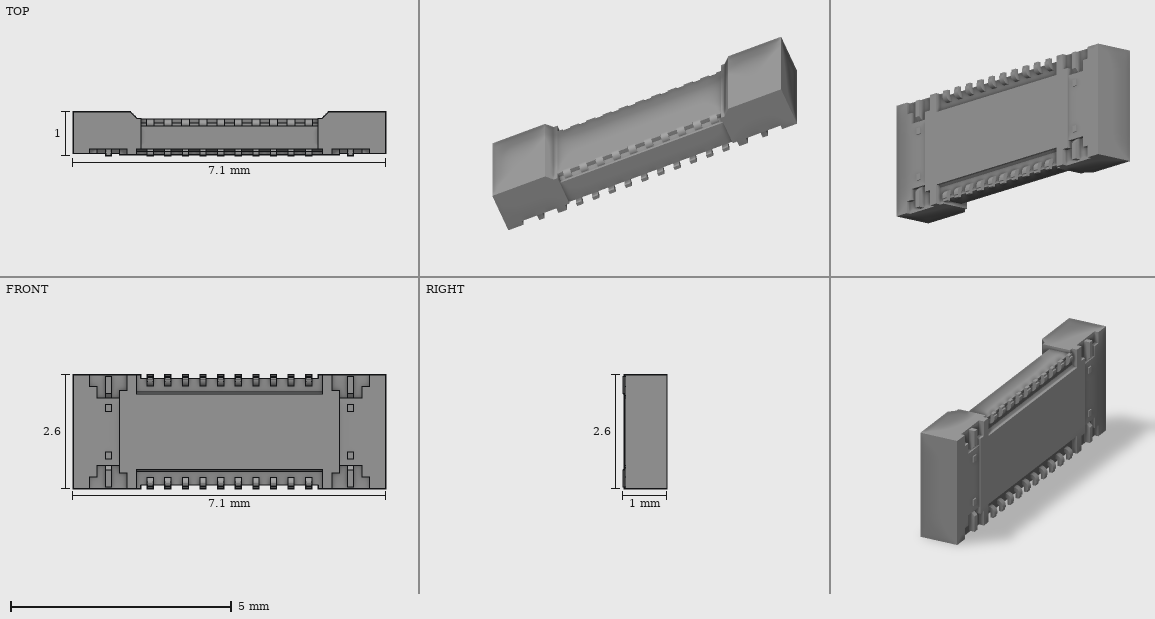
import cadquery as cq
import math

length = 7.1
width = 2.6
thickness = 1.0
half_length = length / 2
half_width = width / 2

center_face = 0.02
end_face = 0.05
recess_floor = 0.15
rim_start = 0.68
rim_rear = 0.84
shoulder_rear = 0.85
rim_height = rim_rear - rim_start

slope_end = 1.45
slope_start = slope_end - (thickness - shoulder_rear)
block_length = 1.54
pad_start = 1.05

waist_inset = 0.085
waist_half_length = half_length - block_length
waist_half_width = half_width - waist_inset
rim_setback = 0.1
rim_half_width = waist_half_width - rim_setback
rim_inner = rim_half_width - rim_height
spacer_drop = 0.065

rebate_start = 1.435
rebate_length = length - 2 * rebate_start
rebate_foot = 0.4
rebate_slope = 0.05
rebate_shoulder = rebate_foot + rebate_slope
rebate_slope_top = recess_floor - rebate_slope

contact_count = 10
contact_pitch = 0.4
contact_width = 0.18
tail_width = 0.14
tail_outer_radius = recess_floor
tail_thickness = 0.1
tail_inner_radius = tail_outer_radius - tail_thickness
tail_straight = 0.115
tip_relief = 0.02
tip_length = 0.05
tip_slope = 0.015
contact_places = [(i - (contact_count - 1) / 2) * contact_pitch for i in range(contact_count)]

recess_outer_x = 0.37
recess_middle_x = 0.54
recess_inner_x = 1.22
recess_outer_z = 0.28
recess_inner_z = 0.36
recess_deep_z = 0.53

pin_width = 0.13
pin_center = 0.8
pin_start = 0.04
pin_flat_end = 0.425
stud_height = 0.15
stud_center_z = 0.76

overlap = 0.035


def extrude_along_x(outline, center_x, size_x):
    """Prism along X whose outline is a closed YZ workplane sketch."""
    return outline.extrude(size_x / 2, both=True).translate((center_x, 0, 0))


def box(x_range, y_range, z_range):
    """Box from its lower and upper limits on each axis."""
    (x0, x1), (y0, y1), (z0, z1) = x_range, y_range, z_range
    return cq.Workplane("XY").box(x1 - x0, y1 - y0, z1 - z0, centered=False).translate((x0, y0, z0))


def with_mirror(shape, plane):
    return shape.union(shape.mirror(plane))


def end_block():
    """Left end block with its sloped rear shoulder and the raised front step of the pad."""
    outline = [
        (0, end_face),
        (pad_start, end_face),
        (pad_start, center_face),
        (block_length, center_face),
        (block_length, shoulder_rear),
        (slope_end, shoulder_rear),
        (slope_start, thickness),
        (0, thickness),
    ]
    block = cq.Workplane("XY").polyline(outline).close().extrude(half_width, both=True)
    return block.translate((-half_length, 0, 0))


def waist():
    """Narrower middle, with the corner of its rear edge stepped in for the rim."""
    x_range = (-waist_half_length, waist_half_length)
    full = box(x_range, (center_face, rim_start), (-waist_half_width, waist_half_width))
    return full.union(box(x_range, (rim_start, rim_rear), (-rim_inner, rim_inner)))


def rim():
    """Upper rear rim: sloped, set-back spacers alternating with rounded contacts."""
    spacer_top = rim_half_width - spacer_drop
    spacer_outline = (
        cq.Workplane("YZ")
        .polyline([
            (rim_start, rim_inner),
            (rim_start, rim_half_width),
            (rim_start + spacer_drop, spacer_top),
            (rim_rear, spacer_top),
            (rim_rear, rim_inner),
        ])
        .close()
    )
    strip = extrude_along_x(spacer_outline, 0, 2 * waist_half_length)
    arc_reach = rim_height * math.sqrt(0.5)
    for x in contact_places:
        x_range = (x - contact_width / 2, x + contact_width / 2)
        strip = strip.cut(box(x_range, (rim_start, rim_rear), (rim_inner, rim_half_width)))
        round_outline = (
            cq.Workplane("YZ")
            .moveTo(rim_start, rim_inner)
            .lineTo(rim_start, rim_half_width)
            .threePointArc((rim_start + arc_reach, rim_inner + arc_reach), (rim_rear, rim_inner))
            .close()
        )
        strip = strip.union(extrude_along_x(round_outline, x, contact_width))
    return strip


def rebate():
    """Cutter for the upper front rebate, which has a 45 degree foot on its inner wall."""
    outline = (
        cq.Workplane("YZ")
        .polyline([
            (0, half_width),
            (0, half_width - rebate_shoulder),
            (rebate_slope_top, half_width - rebate_shoulder),
            (recess_floor, half_width - rebate_foot),
            (recess_floor, half_width),
        ])
        .close()
    )
    return extrude_along_x(outline, 0, rebate_length)


def corner_recess():
    """Cutter for the stepped recess in the upper left front corner."""
    outline = [
        (recess_outer_x, 0),
        (recess_outer_x, -recess_outer_z),
        (recess_middle_x, -recess_outer_z),
        (recess_middle_x, -recess_deep_z),
        (pad_start, -recess_deep_z),
        (pad_start, -recess_inner_z),
        (recess_inner_x, -recess_inner_z),
        (recess_inner_x, 0),
    ]
    cutter = cq.Workplane("XZ").polyline(outline).close().extrude(-recess_floor)
    return cutter.translate((-half_length, 0, half_width))


def tail(x):
    """Upper soldering tail: bends out of the rebate floor and runs flat to a relieved tip."""
    bend_z = half_width - tail_straight
    outer_reach = tail_outer_radius * math.sqrt(0.5)
    inner_reach = tail_inner_radius * math.sqrt(0.5)
    outline = (
        cq.Workplane("YZ")
        .moveTo(tip_relief, half_width)
        .lineTo(tip_relief, half_width - tip_length)
        .lineTo(0, half_width - tip_length - tip_slope)
        .lineTo(0, bend_z)
        .threePointArc(
            (recess_floor - outer_reach, bend_z - outer_reach),
            (recess_floor, bend_z - tail_outer_radius),
        )
        .lineTo(recess_floor + overlap, bend_z - tail_outer_radius)
        .lineTo(recess_floor + overlap, bend_z - tail_inner_radius)
        .lineTo(recess_floor, bend_z - tail_inner_radius)
        .threePointArc((recess_floor - inner_reach, bend_z - inner_reach), (tail_thickness, bend_z))
        .lineTo(tail_thickness, half_width)
        .close()
    )
    return extrude_along_x(outline, x, tail_width)


def pin_and_stud():
    """Hold-down pin in the upper left recess, ending in a 45 degree slope, and the stud below it."""
    slope_run = recess_deep_z - pin_flat_end
    outline = (
        cq.Workplane("YZ")
        .polyline([
            (0, half_width - pin_start),
            (0, half_width - pin_flat_end),
            (slope_run, half_width - recess_deep_z),
            (recess_floor + overlap, half_width - recess_deep_z),
            (recess_floor + overlap, half_width - pin_start),
        ])
        .close()
    )
    center_x = pin_center - half_length
    pin = extrude_along_x(outline, center_x, pin_width)
    stud_z = half_width - stud_center_z
    stud = box(
        (center_x - pin_width / 2, center_x + pin_width / 2),
        (center_face, end_face + overlap),
        (stud_z - stud_height / 2, stud_z + stud_height / 2),
    )
    return pin.union(stud)


body = waist().union(with_mirror(end_block(), "YZ")).union(with_mirror(rim(), "XY"))
body = body.cut(with_mirror(rebate(), "XY"))
body = body.cut(with_mirror(with_mirror(corner_recess(), "XY"), "YZ"))
body = body.union(with_mirror(with_mirror(pin_and_stud(), "XY"), "YZ"))
for contact_x in contact_places:
    body = body.union(with_mirror(tail(contact_x), "XY"))

result = body